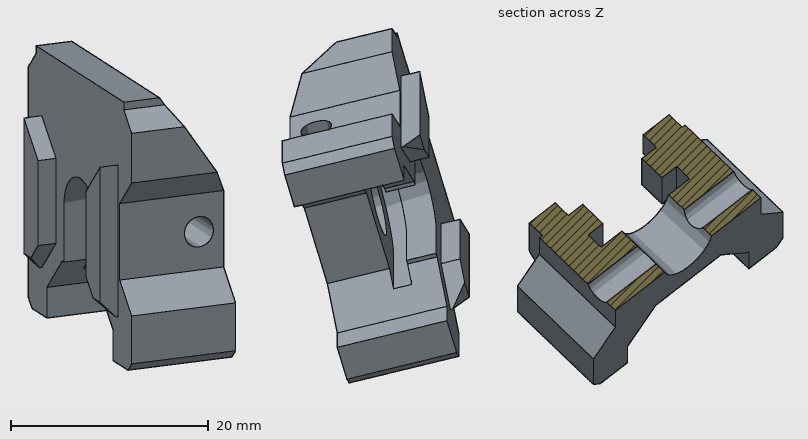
import cadquery as cq

HEIGHT = 28.0
BODY_DEPTH = 11.5
WIDTH = 25.8
HALF_WIDTH = WIDTH / 2
TOP_HALF_WIDTH = 10.95
TOP_STRIP = 0.8
WAIST_HALF_WIDTH = 9.9
FOOT_CHAMFER = 0.92

GAP_HALF_WIDTH = 8.23
GAP_WALL_HEIGHT = 3.25
GAP_TOP = 7.05

AXIS_Z = 13.0
BORE_DIAMETER = 6.5
SLOT_HALF_WIDTH = 4.0
SLOT_DEPTH = 3.08
FLANGE_HALF_WIDTH = 6.0
FLANGE_THICKNESS = 1.9

NOTCH_HALF_HEIGHT = 4.03
NOTCH_DEPTH = HALF_WIDTH - WAIST_HALF_WIDTH

TOP_DEPTH = 3.95
SLOPE_START_Z = AXIS_Z + NOTCH_HALF_HEIGHT

CROSS_DIAMETER = 3.2
CROSS_Y = 8.75

RAIL_HEIGHT = 2.0
RAIL_OUTER_X = 9.52
RAIL_WIDTH = 3.55
RAIL_HALF_LENGTH = 8.0
RAIL_HALF_INNER = 4.48
RAIL_TIP_Z = 6.72


def front_prism(points, start_y, depth):
    """Extrude an XZ outline from start_y toward +Y."""
    plane = cq.Workplane("XZ", origin=(0, start_y, 0))
    return plane.polyline(points).close().extrude(-depth)


def mirrored(points):
    """Complete a right-hand outline with its reflection in X."""
    return points + [(-x, z) for x, z in reversed(points)]


def make_body():
    shoulder_z = HEIGHT - TOP_STRIP
    flank = NOTCH_HALF_HEIGHT + NOTCH_DEPTH
    right_side = [
        (GAP_HALF_WIDTH - (GAP_TOP - GAP_WALL_HEIGHT), GAP_TOP),
        (GAP_HALF_WIDTH, GAP_WALL_HEIGHT),
        (GAP_HALF_WIDTH, 0),
        (HALF_WIDTH - FOOT_CHAMFER, 0),
        (HALF_WIDTH, FOOT_CHAMFER),
        (HALF_WIDTH, AXIS_Z - flank),
        (WAIST_HALF_WIDTH, AXIS_Z - NOTCH_HALF_HEIGHT),
        (WAIST_HALF_WIDTH, AXIS_Z + NOTCH_HALF_HEIGHT),
        (HALF_WIDTH, AXIS_Z + flank),
        (HALF_WIDTH, shoulder_z - (HALF_WIDTH - TOP_HALF_WIDTH)),
        (TOP_HALF_WIDTH, shoulder_z),
        (TOP_HALF_WIDTH, HEIGHT),
    ]
    return front_prism(mirrored(right_side), 0, BODY_DEPTH)


def back_slope():
    """Wedge removed from the upper back."""
    return (
        cq.Workplane("YZ")
        .polyline([(BODY_DEPTH, SLOPE_START_Z), (BODY_DEPTH, HEIGHT), (TOP_DEPTH, HEIGHT)])
        .close()
        .extrude(HALF_WIDTH, both=True)
    )


def open_slot(half_width, start_y, depth):
    """Round-topped slot about the bore axis, open at the bottom."""
    return (
        cq.Workplane("XZ", origin=(0, start_y, 0))
        .moveTo(-half_width, 0)
        .lineTo(-half_width, AXIS_Z)
        .threePointArc((0, AXIS_Z + half_width), (half_width, AXIS_Z))
        .lineTo(half_width, 0)
        .close()
        .extrude(-depth)
    )


def main_bore():
    return cq.Workplane("XZ").center(0, AXIS_Z).circle(BORE_DIAMETER / 2).extrude(-BODY_DEPTH)


def cross_hole():
    return (
        cq.Workplane("YZ")
        .center(CROSS_Y, AXIS_Z)
        .circle(CROSS_DIAMETER / 2)
        .extrude(HALF_WIDTH, both=True)
    )


def rails():
    """Pair of tapered rails on the front face, with their lower tips cut back."""
    inner_x = RAIL_OUTER_X - RAIL_WIDTH
    outline = [
        (RAIL_OUTER_X, AXIS_Z - RAIL_HALF_LENGTH),
        (RAIL_OUTER_X, AXIS_Z + RAIL_HALF_LENGTH),
        (inner_x, AXIS_Z + RAIL_HALF_INNER),
        (inner_x, AXIS_Z - RAIL_HALF_INNER),
    ]
    tip_base_z = RAIL_TIP_Z - RAIL_HEIGHT
    tip_cut = (
        cq.Workplane("YZ")
        .polyline([(-RAIL_HEIGHT, RAIL_TIP_Z), (-RAIL_HEIGHT, tip_base_z), (0, tip_base_z)])
        .close()
        .extrude(HALF_WIDTH)
    )
    rail = front_prism(outline, -RAIL_HEIGHT, RAIL_HEIGHT).cut(tip_cut)
    return rail.union(rail.mirror("YZ"))


result = (
    make_body()
    .cut(back_slope())
    .cut(open_slot(SLOT_HALF_WIDTH, 0, SLOT_DEPTH))
    .cut(open_slot(FLANGE_HALF_WIDTH, SLOT_DEPTH, FLANGE_THICKNESS))
    .cut(main_bore())
    .cut(cross_hole())
    .union(rails())
)